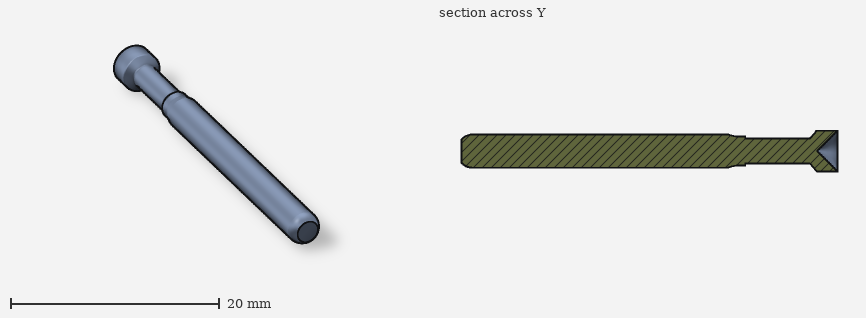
import cadquery as cq
import math

length = 36.07
head_length = 2.02
head_taper_length = 0.65
collar_start = 8.85
collar_length = 0.85
collar_taper_length = 0.83
tip_length = 1.0

head_taper_rounding = 0.18

head_diameter = 3.93
neck_diameter = 2.4
collar_diameter = 2.8
body_diameter = 3.2
tip_face_diameter = 2.2

cup_angle = 90.0

head_radius = head_diameter / 2
neck_radius = neck_diameter / 2
collar_radius = collar_diameter / 2
body_radius = body_diameter / 2
tip_face_radius = tip_face_diameter / 2

cup_depth = head_radius / math.tan(math.radians(cup_angle / 2))
collar_end = collar_start + collar_length
body_start = collar_end + collar_taper_length
body_end = length - tip_length

half_section = (
    cq.Workplane("XY")
    .moveTo(cup_depth, 0)
    .lineTo(0, head_radius)
    .lineTo(head_length, head_radius)
    .lineTo(head_length + head_taper_length, neck_radius)
    .lineTo(collar_start, neck_radius)
    .lineTo(collar_start, collar_radius)
    .lineTo(collar_end, collar_radius)
    .lineTo(body_start, body_radius)
    .lineTo(body_end, body_radius)
    .tangentArcPoint((length, tip_face_radius), relative=False)
    .lineTo(length, 0)
    .close()
)

pin = half_section.revolve(360, (0, 0, 0), (1, 0, 0))

edge_margin = 0.05
taper_edges = cq.selectors.BoxSelector(
    (head_length - edge_margin, -head_diameter, -head_diameter),
    (head_length + head_taper_length + edge_margin, head_diameter, head_diameter),
)
result = pin.edges("%CIRCLE").edges(taper_edges).fillet(head_taper_rounding)